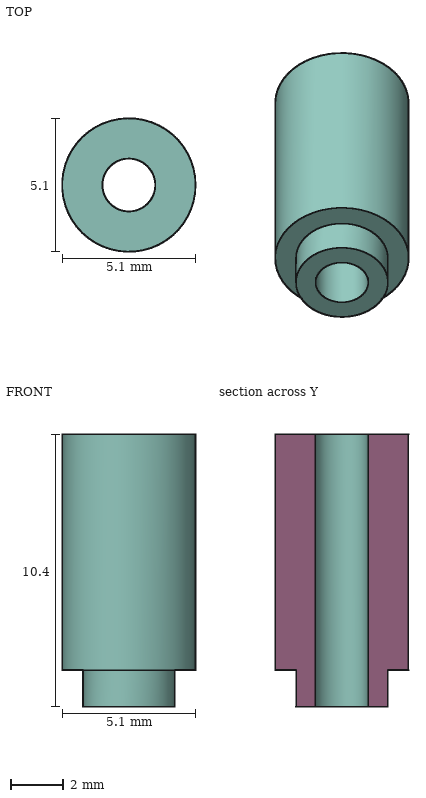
import cadquery as cq

total_height = 10.4
body_diameter = 5.1
spigot_diameter = 3.5
spigot_height = 1.4
bore_diameter = 2.01

body_height = total_height - spigot_height

spigot = cq.Workplane("XY").circle(spigot_diameter / 2).extrude(spigot_height)

spacer = spigot.faces(">Z").workplane().circle(body_diameter / 2).extrude(body_height)

result = spacer.faces(">Z").workplane().hole(bore_diameter)